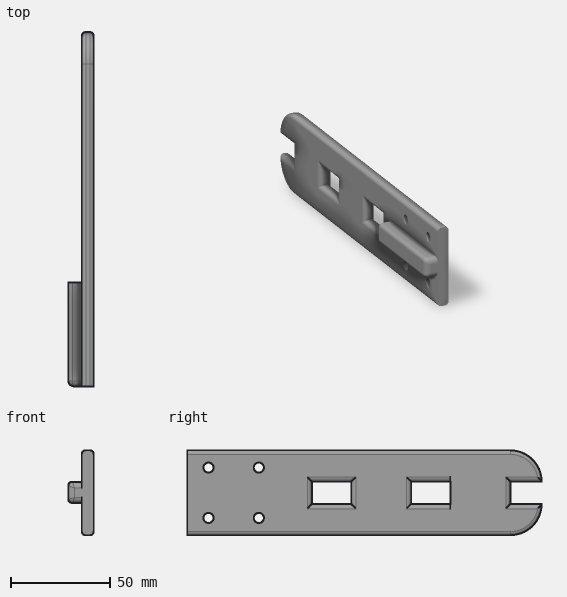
import cadquery as cq

length = 178.8
width = 43.0
thickness = 6.0
edge_radius = 2.0

opening_height = 11.0
opening_radius = 2.5
opening_pitch = 50.0
window_length = 19.7
window_count = 2
notch_depth = 15.7
corner_radius = (width - opening_height) / 2

overall_depth = 12.9
rib_length = 52.5
rib_width = 10.7
rib_offset = 0.2
rib_end_radius = 3.0
rib_edge_radius = 2.0

hole_diameter = 5.0
hole_spacing = 25.4
hole_end_distance = 10.7

half_width = width / 2
half_opening = opening_height / 2
notch_end = length - notch_depth
front_face = -thickness
rib_top = -overall_depth


def box_between(start, end):
    """Box spanning two opposite corners given as (x, y, z)."""
    size = [b - a for a, b in zip(start, end)]
    return cq.Workplane("XY").box(*size, centered=False).translate(start)


def make_plate():
    """Plate rounded along both faces, except at its square end."""
    blank = box_between((front_face, 0, -half_width), (0, length, half_width))
    blank = blank.faces(">Y").edges("|X").fillet(corner_radius)
    square_end = blank.faces("<Y").edges("|Z").vals()
    outline = blank.faces("|X").edges().filter(lambda edge: edge not in square_end)
    return outline.fillet(edge_radius)


def make_opening(y_start, y_end, sharp_back_end=False):
    """Solid filling a through opening whose rims flare out on both faces.

    With sharp_back_end, the back rim at the y_end wall is left unrounded.
    """
    frame_margin = 2 * opening_radius
    frame_half_height = half_opening + frame_margin
    frame = box_between(
        (front_face, y_start - frame_margin, -frame_half_height),
        (0, y_end + frame_margin, frame_half_height),
    )
    pierced = frame.cut(box_between((front_face, y_start, -half_opening), (0, y_end, half_opening)))
    rims = [
        edge
        for face in pierced.faces("|X").vals()
        for wire in face.innerWires()
        for edge in wire.Edges()
    ]
    if sharp_back_end:
        back_end_rim = max(rims, key=lambda edge: edge.Center().x + edge.Center().y)
        rims.remove(back_end_rim)
    return frame.cut(pierced.newObject(rims).fillet(opening_radius))


def cut_openings(plate):
    """Open end notch, then windows stepped back from its closed end."""
    plate = plate.cut(make_opening(notch_end, length + notch_depth))
    for index in range(1, window_count + 1):
        y_start = notch_end - index * opening_pitch
        window = make_opening(y_start, y_start + window_length, sharp_back_end=index == 1)
        plate = plate.cut(window)
    return plate


def make_rib():
    """Rib with a rounded nose at the plate end and softer long edges."""
    rib = box_between(
        (rib_top, 0, rib_offset - rib_width / 2),
        (front_face, rib_length, rib_offset + rib_width / 2),
    )
    rib = rib.faces("<Y").edges("|X or <X").fillet(rib_end_radius)
    return rib.faces("<X").edges("|Y").fillet(rib_edge_radius)


def make_holes():
    """Four through-hole cylinders in a square pattern."""
    return (
        cq.Workplane("YZ")
        .center(hole_end_distance + hole_spacing / 2, 0)
        .rect(hole_spacing, hole_spacing, forConstruction=True)
        .vertices()
        .circle(hole_diameter / 2)
        .extrude(front_face)
    )


result = cut_openings(make_plate()).union(make_rib()).cut(make_holes())